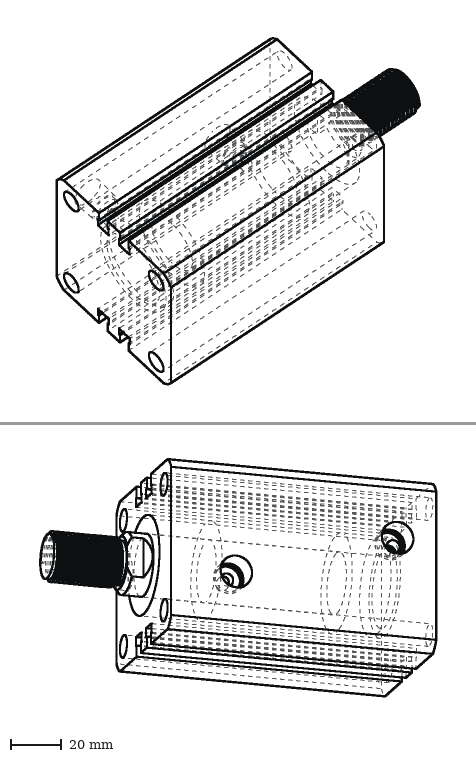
import cadquery as cq
import math

total_length = 150.0
housing_side = 70.0
rod_projection = 40.0
housing_length = total_length - rod_projection
half_side = housing_side / 2
rear_y = -total_length / 2
front_y = rear_y + housing_length
tip_y = rear_y + total_length

corner_setback = 4.5
bolt_offset = 26.0
bolt_hole_diameter = 9.0
slot_offset = 6.5
slot_mouth_width = 5.2
slot_base_width = 6.6
slot_mouth_depth = 4.6
slot_depth = 8.2

bore_diameter = 40.0
rear_wall = 10.0
rod_diameter = 25.0
cover_length = 26.0
piston_length = 20.0
piston_chamfer = 3.9
bore_radius = bore_diameter / 2
rod_radius = rod_diameter / 2
bore_end_y = rear_y + rear_wall
cover_end_y = front_y - cover_length

port_mouth_diameter = 13.0
port_taper_end_diameter = 12.5
port_taper_depth = 10.0
port_drill_diameter = 10.8
port_drill_depth = 12.0
passage_diameter = 5.2
port_height = 10.0
front_port_setback = 27.0
rear_port_setback = 16.0
rear_passage_setback = 14.0
front_port_y = front_y - front_port_setback
rear_port_y = rear_y + rear_port_setback
rear_passage_y = rear_y + rear_passage_setback

shank_length = 30.0
thread_length = 29.0
pitches_per_shank = 15
thread_pitch = shank_length / pitches_per_shank
thread_root_radius = 9.0
thread_crest_radius = 10.0
thread_base_width = 1.5
thread_crest_width = 0.6
thread_embed = 0.2
thread_end_gap = 0.2
shoulder_chamfer = 2.0
wrench_flat_width = 19.2
wrench_flat_length = 6.8
shoulder_y = tip_y - shank_length


def cylinder_along_y(radius, start_y, end_y):
    """Solid round bar on the Y axis."""
    return cq.Workplane("XZ", origin=(0, start_y, 0)).circle(radius).extrude(start_y - end_y)


def cylinder_along_x(diameter, y, z, end_x):
    """Round cutter from the -X face inwards."""
    return cq.Workplane("YZ", origin=(-half_side, y, z)).circle(diameter / 2).extrude(end_x + half_side)


def housing_block():
    """Square block with its long corners rounded by arcs about the bolt holes."""
    edge = half_side - corner_setback
    corner_radius = math.hypot(half_side - bolt_offset, edge - bolt_offset)
    arc_middle = bolt_offset + corner_radius * math.sqrt(0.5)
    outline = (
        cq.Workplane("XZ", origin=(0, rear_y, 0))
        .moveTo(-edge, half_side)
        .lineTo(edge, half_side)
        .threePointArc((arc_middle, arc_middle), (half_side, edge))
        .lineTo(half_side, -edge)
        .threePointArc((arc_middle, -arc_middle), (edge, -half_side))
        .lineTo(-edge, -half_side)
        .threePointArc((-arc_middle, -arc_middle), (-half_side, -edge))
        .lineTo(-half_side, edge)
        .threePointArc((-arc_middle, arc_middle), (-edge, half_side))
        .close()
    )
    return outline.extrude(-housing_length)


def slot_cutter(x, side):
    """Stepped sensor slot along the whole block, in the top (side = 1) or bottom (side = -1) face."""
    mouth_z = side * (half_side - slot_mouth_depth / 2)
    base_depth = slot_depth - slot_mouth_depth
    base_z = side * (half_side - slot_mouth_depth - base_depth / 2)
    middle_y = rear_y + housing_length / 2
    mouth = cq.Workplane("XY").box(slot_mouth_width, housing_length, slot_mouth_depth)
    base = cq.Workplane("XY").box(slot_base_width, housing_length, base_depth)
    return mouth.translate((x, middle_y, mouth_z)).union(base.translate((x, middle_y, base_z)))


def port_cutter(y, z, passage_y):
    """Tapered port, a narrower drill behind it and a passage into the bore."""
    taper = (
        cq.Workplane("YZ", origin=(-half_side, y, z))
        .circle(port_mouth_diameter / 2)
        .workplane(offset=port_taper_depth)
        .circle(port_taper_end_diameter / 2)
        .loft()
    )
    drill = cylinder_along_x(port_drill_diameter, y, z, port_drill_depth - half_side)
    passage = cylinder_along_x(passage_diameter, passage_y, z, -rod_radius)
    return taper.union(drill).union(passage)


def make_housing():
    housing = housing_block()
    bolt_points = [(x, z) for x in (-bolt_offset, bolt_offset) for z in (-bolt_offset, bolt_offset)]
    bolt_holes = (
        cq.Workplane("XZ", origin=(0, rear_y, 0))
        .pushPoints(bolt_points)
        .circle(bolt_hole_diameter / 2)
        .extrude(-housing_length)
    )
    housing = housing.cut(bolt_holes)
    for x in (-slot_offset, slot_offset):
        for side in (-1, 1):
            housing = housing.cut(slot_cutter(x, side))
    housing = housing.cut(cylinder_along_y(bore_radius, bore_end_y, front_y))
    housing = housing.cut(port_cutter(front_port_y, -port_height, front_port_y))
    return housing.cut(port_cutter(rear_port_y, port_height, rear_passage_y))


def make_rod_cover():
    """Plug that closes the front of the bore and guides the rod."""
    cover = cylinder_along_y(bore_radius, cover_end_y, front_y)
    return cover.cut(cylinder_along_y(rod_radius, cover_end_y, front_y))


def thread_ridge():
    """Helical ridge with a trapezoid section, set slightly into the shank."""
    inner_radius = thread_root_radius - thread_embed
    height = thread_length - thread_base_width
    helix = cq.Wire.makeHelix(thread_pitch, height, thread_root_radius)
    section = (
        cq.Workplane("XZ")
        .moveTo(inner_radius, -thread_base_width / 2)
        .lineTo(thread_crest_radius, -thread_crest_width / 2)
        .lineTo(thread_crest_radius, thread_crest_width / 2)
        .lineTo(inner_radius, thread_base_width / 2)
        .close()
    )
    ridge = section.sweep(cq.Workplane(helix), isFrenet=True)
    start_y = tip_y - thread_end_gap - thread_base_width / 2
    return ridge.rotate((0, 0, 0), (1, 0, 0), 90).translate((0, start_y, 0))


def wrench_flat_cutter(side):
    """Flat on one side of the rod shoulder, running out at 45 degrees towards the housing."""
    flat_x = wrench_flat_width / 2
    runout = rod_radius - flat_x
    flat_end_y = shoulder_y - wrench_flat_length
    return (
        cq.Workplane("XY", origin=(0, 0, -rod_radius))
        .moveTo(side * flat_x, shoulder_y)
        .lineTo(side * flat_x, flat_end_y)
        .lineTo(side * rod_radius, flat_end_y - runout)
        .lineTo(side * rod_radius, shoulder_y)
        .close()
        .extrude(2 * rod_radius)
    )


def make_piston_rod():
    """Piston, rod, wrench flats and threaded end in one piece."""
    piston = cylinder_along_y(bore_radius, bore_end_y, bore_end_y + piston_length)
    piston = piston.faces("<Y").chamfer(piston_chamfer)
    rod = cylinder_along_y(rod_radius, bore_end_y + piston_length, shoulder_y)
    rod = rod.faces(">Y").chamfer(shoulder_chamfer)
    for side in (-1, 1):
        rod = rod.cut(wrench_flat_cutter(side))
    shank = cylinder_along_y(thread_root_radius, shoulder_y, tip_y)
    return piston.union(rod).union(shank.union(thread_ridge()))


housing = make_housing()
rod_cover = make_rod_cover()
piston_rod = make_piston_rod()

result = cq.Compound.makeCompound([housing.val(), rod_cover.val(), piston_rod.val()])